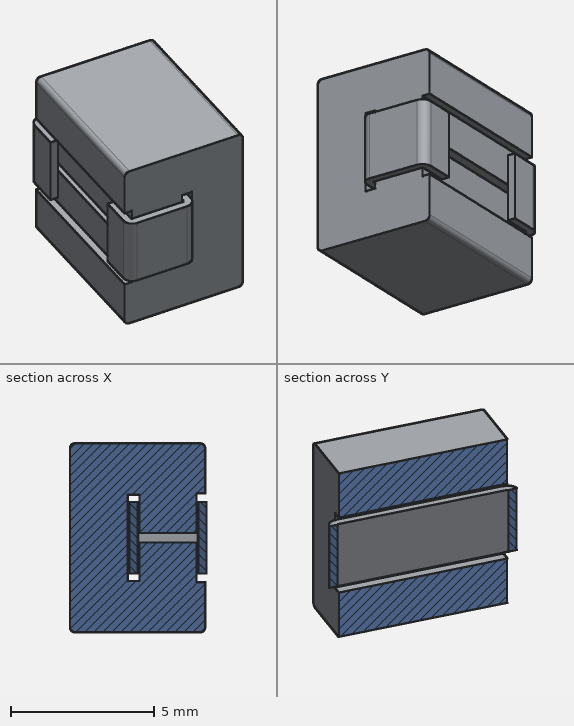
import cadquery as cq


overall_length = 7.05
overall_depth = 4.77

strip_thickness = 0.3
strip_width = 2.495
strip_depth = 2.7
bend_radius = 0.35
foot_end_x = 2.045

core_length = 6.345
core_height = 6.6
core_corner_radius = 0.2
foot_standoff = 0.05
clearance = 0.05
window_height = 2.995
recess_height = 3.09
air_gap = 0.325

core_front_y = foot_standoff
core_depth = overall_depth - foot_standoff
recess_floor_y = strip_thickness + clearance
window_front_y = strip_depth - strip_thickness - clearance
window_back_y = strip_depth + clearance


def slab_along_x(front_y, back_y, height):
    """A box over the full core length, between two Y positions and centred on Z = 0."""
    return (
        cq.Workplane("XY")
        .box(core_length, back_y - front_y, height, centered=(True, False, True))
        .translate((0, front_y, 0))
    )


def make_core():
    """Rounded block with a window for the strip, a front recess for the feet and an air gap."""
    block = slab_along_x(core_front_y, core_front_y + core_depth, core_height)
    block = block.edges("|X").fillet(core_corner_radius)
    window = slab_along_x(window_front_y, window_back_y, window_height)
    foot_recess = slab_along_x(core_front_y, recess_floor_y, recess_height)
    gap = slab_along_x(core_front_y, window_back_y, air_gap)
    return block.cut(window).cut(foot_recess).cut(gap)


def strip_prism(length, front_y, back_y):
    """A bar of the strip's width, centred on X = 0 and Z = 0."""
    return (
        cq.Workplane("XY")
        .box(length, back_y - front_y, strip_width, centered=(True, False, True))
        .translate((0, front_y, 0))
    )


def make_strip():
    """Flat strip bent into a C: an arm through the window, two legs and two inturned feet."""
    outside = strip_prism(overall_length, 0, strip_depth)
    outside = outside.edges("|Z").fillet(bend_radius)
    inside = strip_prism(
        overall_length - 2 * strip_thickness, strip_thickness, strip_depth - strip_thickness
    )
    inside = inside.edges("|Z").fillet(bend_radius - strip_thickness)
    space_between_feet = strip_prism(2 * foot_end_x, 0, strip_thickness)
    return outside.cut(inside).cut(space_between_feet)


core = make_core()
strip = make_strip()

result = cq.Compound.makeCompound([core.solids().val(), strip.solids().val()])